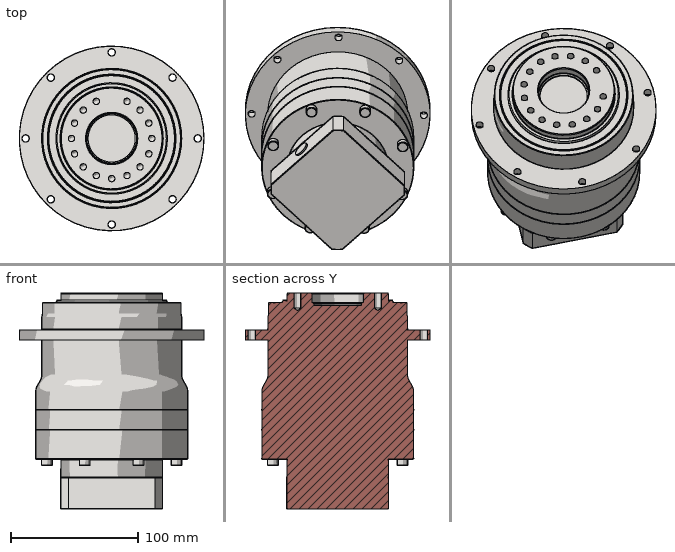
import cadquery as cq
import math


OUTPUT_RADIUS = 40.0
OUTPUT_CHAMFER_WIDTH = 0.5
OUTPUT_CHAMFER_HEIGHT = 1.0

SEAL_TOP = -5.75
SEAL_RADIUS = 43.75
SEAL_CHAMFER_WIDTH = 0.9
SEAL_CHAMFER_HEIGHT = 1.25
SEAL_GAP_WIDTH = 0.5
SEAL_GAP_DEPTH = 0.5

PILOT_TOP = -7.5
PILOT_RADIUS = 54.5
EDGE_CHAMFER = 0.5
PILOT_TAPER_TOP = -16.5
PILOT_TAPER_BOTTOM = -19.0

FACE_GROOVE_RADIUS = 49.9
FACE_GROOVE_HALF_WIDTH = 0.6
FACE_GROOVE_DEPTH = 0.5

NECK_RADIUS = 55.0
FLANGE_RADIUS = 72.5
FLANGE_TOP = -29.0
FLANGE_THICKNESS = 8.0
FLANGE_RELIEF_HEIGHT = 0.5
FLANGE_RELIEF_DEPTH = 0.25

SHOULDER_TOP = -64.0
SHOULDER_BLEND = 10.0
SHOULDER_ANGLE = math.radians(30.0)

BODY_RADIUS = 59.75
BODY_BOTTOM = -130.5
PARTING_LEVELS = (-91.75, -107.35)
PARTING_WIDTH = 0.5
PARTING_DEPTH = 0.25

COLLAR_RADIUS = 40.0
COLLAR_RELIEF_HEIGHT = 0.5
COLLAR_RELIEF_DEPTH = 0.25
ADAPTER_SIDE = 80.0
ADAPTER_CORNER_RADIUS = 52.5
ADAPTER_HEIGHT = 25.0
ADAPTER_BOTTOM = -169.5
ADAPTER_TOP = ADAPTER_BOTTOM + ADAPTER_HEIGHT

PLUG_RADIUS = 6.0
PLUG_PROJECTION = 1.25
PLUG_LEVEL = -156.0

BORE_RADIUS = 20.0
BORE_CHAMFER_WIDTH = 0.5
BORE_CHAMFER_HEIGHT = 1.0
BORE_LEDGE_DEPTH = 7.5
BORE_LEDGE_WIDTH = 0.5
BORE_FLOOR_RADIUS = 18.5
BORE_FLOOR_CHAMFER = 1.0
BORE_FLOOR_DEPTH = 9.5

OUTPUT_HOLE_COUNT = 16
OUTPUT_HOLE_CIRCLE = 31.5
OUTPUT_HOLE_DIAMETER = 5.0
OUTPUT_HOLE_DEPTH = 12.0
DRILL_TIP_ANGLE = math.radians(118.0)
EMPTY_POSITION_ANGLE = 90.0

FLANGE_HOLE_COUNT = 8
FLANGE_HOLE_CIRCLE = 67.5
FLANGE_HOLE_DIAMETER = 5.5

SCREW_COUNT = 8
SCREW_CIRCLE = 55.0
SCREW_HEAD_RADIUS = 4.25
SCREW_HEAD_HEIGHT = 5.0
SCREW_HEAD_CHAMFER = 0.5


def polar(radius, degrees):
    angle = math.radians(degrees)
    return (radius * math.cos(angle), radius * math.sin(angle))


def ring_points(count, radius, start_angle=0.0):
    step = 360.0 / count
    return [polar(radius, start_angle + index * step) for index in range(count)]


def disc(radius, top, bottom):
    return cq.Workplane("XY").workplane(offset=bottom).circle(radius).extrude(top - bottom)


def annulus(inner_radius, outer_radius, top, bottom):
    return disc(outer_radius, top, bottom).cut(disc(inner_radius, top, bottom))


def shoulder_arc_points(center_radius, center_level, direction):
    """Middle and end of a blend arc turning from the axial direction to the cone."""
    points = []
    for angle in (SHOULDER_ANGLE / 2, SHOULDER_ANGLE):
        radius = center_radius + direction * SHOULDER_BLEND * math.cos(angle)
        level = center_level + direction * SHOULDER_BLEND * math.sin(angle)
        points.append((radius, level))
    return points


def housing():
    """Solid of revolution from the output face down to the collar."""
    blend_width = SHOULDER_BLEND * (1 - math.cos(SHOULDER_ANGLE))
    blend_height = SHOULDER_BLEND * math.sin(SHOULDER_ANGLE)
    cone_width = BODY_RADIUS - NECK_RADIUS - 2 * blend_width
    cone_height = cone_width / math.tan(SHOULDER_ANGLE)
    shoulder_bottom = SHOULDER_TOP - 2 * blend_height - cone_height
    upper_mid, upper_end = shoulder_arc_points(NECK_RADIUS + SHOULDER_BLEND, SHOULDER_TOP, -1)
    lower_mid, lower_start = shoulder_arc_points(BODY_RADIUS - SHOULDER_BLEND, shoulder_bottom, 1)

    profile = (
        cq.Workplane("XZ")
        .moveTo(0, 0)
        .lineTo(OUTPUT_RADIUS - OUTPUT_CHAMFER_WIDTH, 0)
        .lineTo(OUTPUT_RADIUS, -OUTPUT_CHAMFER_HEIGHT)
        .lineTo(OUTPUT_RADIUS, SEAL_TOP - SEAL_GAP_DEPTH)
        .lineTo(OUTPUT_RADIUS + SEAL_GAP_WIDTH, SEAL_TOP - SEAL_GAP_DEPTH)
        .lineTo(OUTPUT_RADIUS + SEAL_GAP_WIDTH, SEAL_TOP)
        .lineTo(SEAL_RADIUS - SEAL_CHAMFER_WIDTH, SEAL_TOP)
        .lineTo(SEAL_RADIUS, SEAL_TOP - SEAL_CHAMFER_HEIGHT)
        .lineTo(SEAL_RADIUS, PILOT_TOP)
        .lineTo(FACE_GROOVE_RADIUS - FACE_GROOVE_HALF_WIDTH, PILOT_TOP)
        .lineTo(FACE_GROOVE_RADIUS, PILOT_TOP - FACE_GROOVE_DEPTH)
        .lineTo(FACE_GROOVE_RADIUS + FACE_GROOVE_HALF_WIDTH, PILOT_TOP)
        .lineTo(PILOT_RADIUS - EDGE_CHAMFER, PILOT_TOP)
        .lineTo(PILOT_RADIUS, PILOT_TOP - EDGE_CHAMFER)
        .lineTo(PILOT_RADIUS, PILOT_TAPER_TOP)
        .lineTo(NECK_RADIUS, PILOT_TAPER_BOTTOM)
        .lineTo(NECK_RADIUS, SHOULDER_TOP)
        .threePointArc(upper_mid, upper_end)
        .lineTo(*lower_start)
        .threePointArc(lower_mid, (BODY_RADIUS, shoulder_bottom))
        .lineTo(BODY_RADIUS, BODY_BOTTOM + EDGE_CHAMFER)
        .lineTo(BODY_RADIUS - EDGE_CHAMFER, BODY_BOTTOM)
        .lineTo(COLLAR_RADIUS - COLLAR_RELIEF_DEPTH, BODY_BOTTOM)
        .lineTo(COLLAR_RADIUS - COLLAR_RELIEF_DEPTH, BODY_BOTTOM - COLLAR_RELIEF_HEIGHT)
        .lineTo(COLLAR_RADIUS, BODY_BOTTOM - COLLAR_RELIEF_HEIGHT)
        .lineTo(COLLAR_RADIUS, ADAPTER_TOP)
        .lineTo(0, ADAPTER_TOP)
        .close()
    )
    return profile.revolve(360, (0, 0, 0), (0, 1, 0))


def mounting_flange():
    flange = disc(FLANGE_RADIUS, FLANGE_TOP, FLANGE_TOP - FLANGE_THICKNESS)
    holes = (
        cq.Workplane("XY")
        .workplane(offset=FLANGE_TOP)
        .pushPoints(ring_points(FLANGE_HOLE_COUNT, FLANGE_HOLE_CIRCLE))
        .circle(FLANGE_HOLE_DIAMETER / 2)
        .extrude(-FLANGE_THICKNESS)
    )
    return flange.cut(holes)


def housing_grooves():
    """Relief above the mounting flange and parting grooves around the body."""
    grooves = annulus(
        NECK_RADIUS - FLANGE_RELIEF_DEPTH,
        NECK_RADIUS,
        FLANGE_TOP + FLANGE_RELIEF_HEIGHT,
        FLANGE_TOP,
    )
    for level in PARTING_LEVELS:
        parting = annulus(
            BODY_RADIUS - PARTING_DEPTH,
            BODY_RADIUS,
            level + PARTING_WIDTH / 2,
            level - PARTING_WIDTH / 2,
        )
        grooves = grooves.union(parting)
    return grooves


def motor_adapter():
    """Square block with its corners turned round, and the access plug."""
    block = cq.Workplane("XY").workplane(offset=ADAPTER_BOTTOM).rect(ADAPTER_SIDE, ADAPTER_SIDE)
    block = block.extrude(ADAPTER_HEIGHT)
    block = block.intersect(disc(ADAPTER_CORNER_RADIUS, ADAPTER_TOP, ADAPTER_BOTTOM))
    block = block.faces("<Z or >Z").edges().chamfer(EDGE_CHAMFER)
    plug = (
        cq.Workplane("XZ", origin=(0, 0, PLUG_LEVEL))
        .circle(PLUG_RADIUS)
        .extrude(-(ADAPTER_SIDE / 2 + PLUG_PROJECTION))
    )
    return block.union(plug)


def screw_heads():
    half_step = 360.0 / SCREW_COUNT / 2
    heads = (
        cq.Workplane("XY")
        .workplane(offset=BODY_BOTTOM)
        .pushPoints(ring_points(SCREW_COUNT, SCREW_CIRCLE, half_step))
        .circle(SCREW_HEAD_RADIUS)
        .extrude(-SCREW_HEAD_HEIGHT)
    )
    return heads.faces("<Z").edges().chamfer(SCREW_HEAD_CHAMFER)


def central_bore():
    profile = (
        cq.Workplane("XZ")
        .moveTo(0, 0)
        .lineTo(BORE_RADIUS + BORE_CHAMFER_WIDTH, 0)
        .lineTo(BORE_RADIUS, -BORE_CHAMFER_HEIGHT)
        .lineTo(BORE_RADIUS, -BORE_LEDGE_DEPTH)
        .lineTo(BORE_RADIUS - BORE_LEDGE_WIDTH, -BORE_LEDGE_DEPTH)
        .lineTo(BORE_FLOOR_RADIUS, -BORE_LEDGE_DEPTH - BORE_FLOOR_CHAMFER)
        .lineTo(BORE_FLOOR_RADIUS, -BORE_FLOOR_DEPTH)
        .lineTo(0, -BORE_FLOOR_DEPTH)
        .close()
    )
    return profile.revolve(360, (0, 0, 0), (0, 1, 0))


def output_holes():
    """Blind drilled holes with conical bottoms."""
    radius = OUTPUT_HOLE_DIAMETER / 2
    tip_depth = OUTPUT_HOLE_DEPTH + radius / math.tan(DRILL_TIP_ANGLE / 2)
    drill = (
        cq.Workplane("XZ")
        .moveTo(0, 0)
        .lineTo(radius, 0)
        .lineTo(radius, -OUTPUT_HOLE_DEPTH)
        .lineTo(0, -tip_depth)
        .close()
        .revolve(360, (0, 0, 0), (0, 1, 0))
        .translate((OUTPUT_HOLE_CIRCLE, 0, 0))
    )
    step = 360.0 / OUTPUT_HOLE_COUNT
    holes = cq.Workplane("XY")
    for index in range(1, OUTPUT_HOLE_COUNT):
        angle = EMPTY_POSITION_ANGLE + index * step
        holes = holes.add(drill.rotate((0, 0, 0), (0, 0, 1), angle))
    return holes.combine()


result = (
    housing()
    .cut(housing_grooves())
    .union(mounting_flange())
    .union(motor_adapter())
    .union(screw_heads())
    .cut(central_bore())
    .cut(output_holes())
)